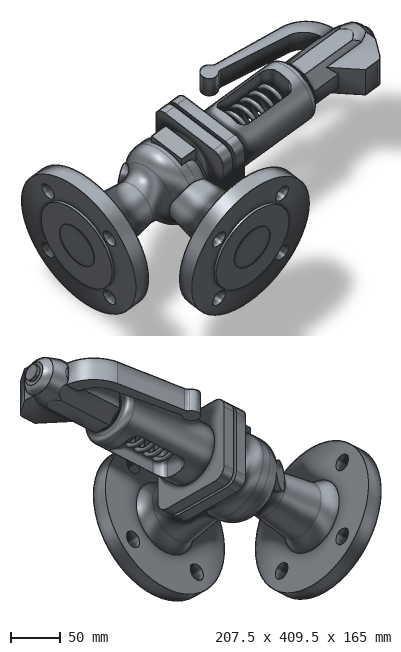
import cadquery as cq
import math


face_distance = 125.0
flange_diameter = 165.0
flange_radius = flange_diameter / 2
flange_thickness = 17.5
raised_face_diameter = 102.0
raised_face_radius = raised_face_diameter / 2
raised_face_height = 3.0
flange_back = face_distance - raised_face_height - flange_thickness
bore_radius = 25.0
bore_recess = 1.0
bolt_circle_diameter = 125.0
bolt_circle_radius = bolt_circle_diameter / 2
bolt_hole_radius = 9.0
bolt_count = 4
first_bolt_angle = 45

flare_radius = 39.7
flare_start = 87.5
flare_sag = 1.2
inlet_cone_radius = 31.0
inlet_neck_radius = 25.5
inlet_neck_end = 43.5
outlet_cone_radius = 33.0
outlet_neck_radius = 23.8
outlet_neck_end = 20.5

bulge_radius = 45.5
bulge_low = -3.3
bulge_high = 6.0
bulge_low_curve = 22.5
collar_base_radius = 35.5
collar_radius = 34.5
collar_base = 22.0
collar_start = 26.0
collar_end = 28.5
collar_flare = 4.0

clamp_half_width = 48.5
clamp_corner_radius = 13.5
clamp_thickness = 13.0
clamp_start = 33.0
gasket_radius = 39.0
gasket_thickness = 3.5
clamp_end = clamp_start + 2 * clamp_thickness + gasket_thickness

bonnet_radius = 34.5
bonnet_end = 180.5
bonnet_edge_radius = 7.5
window_width = 40.5
window_low = 86.0
window_high = 162.0
window_corner_radius = 10.2
coil_count = 5
coil_first = 99.0
coil_pitch = 12.5
coil_radius = 20.0
wire_radius = 2.5

cap_sides = 8
cap_apothem = 24.0
cap_start = 185.0
cap_neck_radius = 23.5
cap_neck_step = 182.5
cap_neck_step_radius = 22.0
dome_start = 252.0
dome_side = (23.5, 263.5)
dome_shoulder = 273.5
dome_shoulder_radius = 20.5
dome_end = 280.5
dome_end_radius = 12.5
dome_crown = (17.0, 277.5)
tip_radius = 8.5
overall_top = 284.5

lever_width = 26.0
lever_half_thickness = lever_width / 2
lever_root = -18.5
lever_root_low = 240.0
lever_root_high = 256.5
lever_bend_start = -21.3
lever_outer_bend = [(-47.5, 243.5), (-59.0, 221.0)]
lever_inner_bend = [(-37.0, 233.0), (-46.0, 219.0)]
lever_outer_tip = (-71.0, 129.0)
lever_inner_tip = (-62.0, 129.0)
lever_ball_center = (-66.7, 126.0)
lever_ball_radius = 9.5
lever_fillet = 6.0
hood_width = 38.0
hood_half_thickness = hood_width / 2
hood_bottom = (15.0, 211.0)
hood_outer_low = (44.5, 236.5)
hood_outer_high = (44.5, 258.0)
hood_top = (21.5, 273.0)
hood_top_inner_x = 7.5
hood_corner_radius = 8.0

plate_half_width = 21.5
plate_low = 1.2
plate_high = 21.3
plate_top = 49.0
drain_diameter = 31.5
drain_radius = drain_diameter / 2
drain_center = (-33.5, -29.0)
drain_tilt = 30
drain_depth = 24.5


def disc(radius, start, end):
    """Cylinder on the Y axis between two Y positions."""
    return cq.Workplane("XZ", origin=(0, start, 0)).circle(radius).extrude(start - end)


def plate_in_xy(outline, half_thickness):
    return outline.extrude(half_thickness, both=True)


def connection(cone_radius, neck_radius, neck_end):
    """Flange, flared cone and neck along -Y, up to the body."""
    flare_middle = (
        (cone_radius + flare_radius) / 2 - flare_sag,
        -(flare_start + flange_back) / 2,
    )
    raised_start = -(flange_back + flange_thickness)
    solid = (
        cq.Workplane("XY")
        .moveTo(0, -face_distance)
        .lineTo(raised_face_radius, -face_distance)
        .lineTo(raised_face_radius, raised_start)
        .lineTo(flange_radius, raised_start)
        .lineTo(flange_radius, -flange_back)
        .lineTo(flare_radius, -flange_back)
        .threePointArc(flare_middle, (cone_radius, -flare_start))
        .lineTo(neck_radius, -neck_end)
        .lineTo(0, -neck_end)
        .close()
        .revolve(360, (0, 0, 0), (0, 1, 0))
    )
    bolt_holes = (
        cq.Workplane("XZ", origin=(0, -flange_back, 0))
        .polarArray(bolt_circle_radius, first_bolt_angle, 360, bolt_count)
        .circle(bolt_hole_radius)
        .extrude(flange_thickness)
    )
    recess = disc(bore_radius, -face_distance, -face_distance + bore_recess)
    return solid.cut(bolt_holes).cut(recess)


def bulged_body():
    cone_angle = math.atan2(inlet_cone_radius - inlet_neck_radius, flare_start - inlet_neck_end)
    normal = cq.Vector(math.cos(cone_angle), math.sin(cone_angle))
    bulge_center = cq.Vector(bulge_radius - bulge_low_curve, bulge_low)
    offset = cq.Vector(inlet_neck_radius, -inlet_neck_end) - bulge_center
    waist_curve = (offset.Length**2 - bulge_low_curve**2) / (2 * (bulge_low_curve - offset.dot(normal)))
    to_waist_center = offset + normal * waist_curve
    meeting_point = bulge_center + to_waist_center.normalized() * bulge_low_curve
    return (
        cq.Workplane("XY")
        .moveTo(0, -flare_start)
        .lineTo(inlet_cone_radius, -flare_start)
        .lineTo(inlet_neck_radius, -inlet_neck_end)
        .tangentArcPoint(meeting_point, relative=False)
        .tangentArcPoint((bulge_radius, bulge_low), relative=False)
        .lineTo(bulge_radius, bulge_high)
        .tangentArcPoint((collar_base_radius, collar_base), relative=False)
        .lineTo(collar_radius, collar_start)
        .lineTo(collar_radius, collar_end)
        .tangentArcPoint((collar_radius + collar_flare, clamp_start), relative=False)
        .lineTo(0, clamp_start)
        .close()
        .revolve(360, (0, 0, 0), (0, 1, 0))
    )


def clamp_flange(start):
    return (
        cq.Workplane("XZ", origin=(0, start, 0))
        .rect(2 * clamp_half_width, 2 * clamp_half_width)
        .extrude(-clamp_thickness)
        .edges("|Y")
        .fillet(clamp_corner_radius)
    )


def clamp():
    upper_start = clamp_end - clamp_thickness
    gasket = disc(gasket_radius, clamp_start, clamp_end)
    return gasket.union(clamp_flange(clamp_start)).union(clamp_flange(upper_start))


def bonnet():
    shell = disc(bonnet_radius, clamp_end, bonnet_end).faces(">Y").edges().fillet(bonnet_edge_radius)
    window = (
        cq.Workplane("XY")
        .center(0, (window_low + window_high) / 2)
        .rect(window_width, window_high - window_low)
        .extrude(bonnet_radius, both=True)
        .edges("|Z")
        .fillet(window_corner_radius)
    )
    return shell.cut(window)


def spring():
    """Row of closed rings, embedded at both sides in the window walls."""
    coils = cq.Workplane("XY")
    for index in range(coil_count):
        coil = cq.Solid.makeTorus(
            coil_radius,
            wire_radius,
            cq.Vector(0, coil_first + index * coil_pitch, 0),
            cq.Vector(0, 1, 0),
        )
        coils = coils.add(coil)
    return coils


def cap():
    corner_radius = cap_apothem / math.cos(math.pi / cap_sides)
    octagon = (
        cq.Workplane("XZ", origin=(0, cap_start, 0))
        .transformed(rotate=(0, 0, 180 / cap_sides))
        .polygon(cap_sides, 2 * corner_radius)
        .extrude(cap_start - overall_top)
    )
    dome = (
        cq.Workplane("XY")
        .moveTo(0, cap_start)
        .lineTo(corner_radius, cap_start)
        .lineTo(corner_radius, dome_start)
        .threePointArc(dome_side, (dome_shoulder_radius, dome_shoulder))
        .threePointArc(dome_crown, (dome_end_radius, dome_end))
        .lineTo(tip_radius, dome_end)
        .lineTo(tip_radius, overall_top)
        .lineTo(0, overall_top)
        .close()
        .revolve(360, (0, 0, 0), (0, 1, 0))
    )
    neck = disc(cap_neck_radius, cap_neck_step, cap_start)
    groove = disc(cap_neck_step_radius, bonnet_end, cap_neck_step)
    return octagon.intersect(dome).union(neck).union(groove)


def lever():
    inner_bend_middle, inner_bend_end = lever_inner_bend
    arm_outline = (
        cq.Workplane("XY")
        .moveTo(lever_root, lever_root_high)
        .lineTo(lever_bend_start, lever_root_high)
        .threePointArc(*lever_outer_bend)
        .lineTo(*lever_outer_tip)
        .lineTo(*lever_inner_tip)
        .lineTo(*inner_bend_end)
        .threePointArc(inner_bend_middle, (lever_bend_start, lever_root_low))
        .lineTo(lever_root, lever_root_low)
        .close()
    )
    ball_outline = cq.Workplane("XY").center(*lever_ball_center).circle(lever_ball_radius)
    arm = plate_in_xy(arm_outline, lever_half_thickness)
    ball = plate_in_xy(ball_outline, lever_half_thickness)
    ball_x, ball_y = lever_ball_center
    joint = cq.selectors.BoxSelector(
        (ball_x - lever_ball_radius, ball_y, -lever_half_thickness),
        (ball_x + lever_ball_radius, ball_y + lever_ball_radius, lever_half_thickness),
    )
    return arm.union(ball).edges("|Z").edges(joint).fillet(lever_fillet)


def hood():
    hood_points = [
        hood_bottom,
        hood_outer_low,
        hood_outer_high,
        hood_top,
        (hood_top_inner_x, hood_top[1]),
        (hood_bottom[0], hood_outer_high[1]),
    ]
    corner = cq.selectors.NearestToPointSelector((*hood_outer_high, 0))
    outline = cq.Workplane("XY").polyline(hood_points).close()
    return plate_in_xy(outline, hood_half_thickness).edges(corner).fillet(hood_corner_radius)


def name_plate():
    return cq.Workplane("XY", origin=(0, plate_low, 0)).box(
        2 * plate_half_width, plate_high - plate_low, plate_top, centered=(True, False, False)
    )


def drain_boss():
    tilt = math.radians(drain_tilt)
    inward = cq.Vector(math.cos(tilt), math.sin(tilt), 0)
    face_center = cq.Vector(*drain_center, 0)
    return cq.Workplane(cq.Solid.makeCylinder(drain_radius, drain_depth, face_center, inward))


inlet = connection(inlet_cone_radius, inlet_neck_radius, inlet_neck_end)
outlet = connection(outlet_cone_radius, outlet_neck_radius, outlet_neck_end)
outlet = outlet.rotate((0, 0, 0), (0, 0, 1), 90)

result = (
    bulged_body()
    .union(inlet)
    .union(outlet)
    .union(clamp())
    .union(bonnet())
    .union(spring())
    .union(cap())
    .union(lever())
    .union(hood())
    .union(name_plate())
    .union(drain_boss())
)